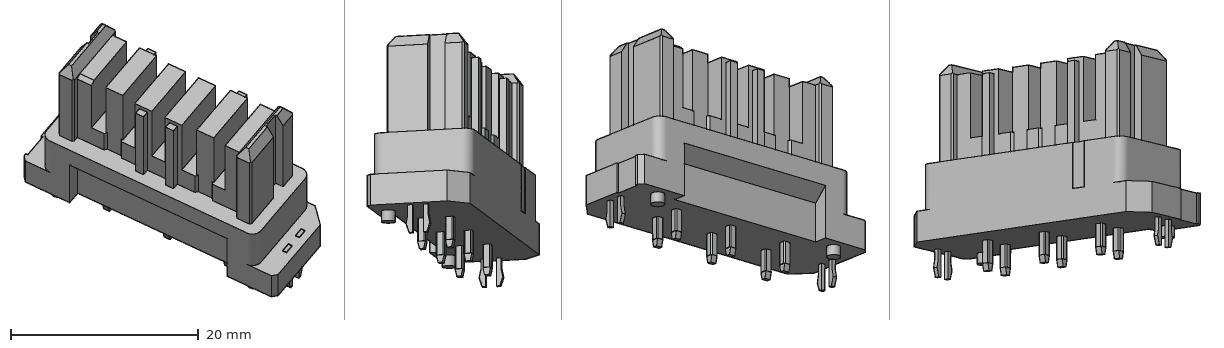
import cadquery as cq


length = 32.0
depth = 11.0
flange_height = 3.35
rear_chamfer_x = 1.92
rear_chamfer_y = 2.0
front_chamfer_x = 0.5
front_chamfer_y = 0.55
end_notch_depth = 0.22
end_notch_front = -4.57
end_notch_rear = -1.57
block_length = 27.0
block_top = 8.35
block_corner_radius = 1.1
rear_groove_x = -7.65
rear_groove_width = 1.55
rear_groove_depth = 0.1

pocket_length = 19.83
pocket_depth = 1.6
pocket_mouth_height = 5.98
pocket_rear_height = 4.4

tower_x = 11.15
tower_width = 1.92
tower_depth = 8.57
tower_top = 19.2
tower_shoulder = 18.0
tower_edge_chamfer = 0.2
ridge_width = 0.38
ridge_depth = 6.9
tower_slot_y = 1.2
tower_slot_width = 1.92

bar_depth = 7.05
bar_top = 10.95
fin_top = 18.0
fin_width = 2.15
inner_fin_x = 1.9
outer_fin_x = 5.73
end_fin_inner_x = 8.4
fin_setback = 0.3
bar_recess_width = 2.25
bar_recess_floor = 1.73
end_fin_bevel_depth = 0.5
end_fin_bevel_height = 0.38

rib_width = 1.0
rib_reach = tower_depth / 2
rib_top = 17.53

pin_pitch = 7.6
pin_y = 1.55
pin_size = 0.9
pin_edge_chamfer = 0.13
pin_shoulder = -2.5
pin_tip = -3.3
pin_tip_width = 0.75
pin_root_depth = 0.85
pin_tip_depth = 0.48
peg_x = 12.35
peg_y = -4.0
peg_diameter = 1.5
peg_length = 1.15
clip_x = 14.85
clip_thickness = 0.48
clip_head_inner_y = 0.7
clip_head_outer_y = 1.85
clip_head_height = 0.1
clip_inner_y = 0.6
clip_outer_y = 1.12
clip_neck_z = -1.15
clip_barb_y = 1.3
clip_barb_z = -2.05
clip_tip_y = 1.0
clip_tip_z = -3.0

half_length = length / 2
half_depth = depth / 2


def box_between(x0, x1, y0, y1, z0, z1):
    """Axis-aligned box between two opposite corners."""
    return cq.Workplane("XY").box(x1 - x0, y1 - y0, z1 - z0, centered=False).translate((x0, y0, z0))


def make_flange():
    outline = [
        (half_length - front_chamfer_x, -half_depth),
        (half_length, -half_depth + front_chamfer_y),
        (half_length, half_depth - rear_chamfer_y),
        (half_length - rear_chamfer_x, half_depth),
        (rear_chamfer_x - half_length, half_depth),
        (-half_length, half_depth - rear_chamfer_y),
        (-half_length, -half_depth + front_chamfer_y),
        (front_chamfer_x - half_length, -half_depth),
    ]
    flange = cq.Workplane("XY").polyline(outline).close().extrude(flange_height)
    end_notch = box_between(
        -half_length, end_notch_depth - half_length, end_notch_front, end_notch_rear, 0, flange_height
    )
    return flange.cut(end_notch)


def make_block():
    block = (
        cq.Workplane("XY")
        .rect(block_length, depth)
        .extrude(block_top)
        .edges("|Z")
        .fillet(block_corner_radius)
    )
    rear_groove = box_between(
        rear_groove_x - rear_groove_width / 2, rear_groove_x + rear_groove_width / 2,
        half_depth - rear_groove_depth, half_depth,
        flange_height, block_top,
    )
    return block.cut(rear_groove)


def make_pocket():
    pocket_rear = pocket_depth - half_depth
    profile = [
        (-half_depth, 0),
        (pocket_rear, 0),
        (pocket_rear, pocket_rear_height),
        (-half_depth, pocket_mouth_height),
    ]
    return cq.Workplane("YZ").polyline(profile).close().extrude(pocket_length / 2, both=True)


def roof_profile(plane, width, top_width):
    """Upright outline with sloping shoulders that meet a narrow flat top."""
    return (
        cq.Workplane(plane)
        .moveTo(-width / 2, block_top)
        .lineTo(width / 2, block_top)
        .lineTo(width / 2, tower_shoulder)
        .lineTo(top_width / 2, tower_top)
        .lineTo(-top_width / 2, tower_top)
        .lineTo(-width / 2, tower_shoulder)
        .close()
    )


def make_tower():
    """Left guide tower, with its slot open towards -X."""
    post = (
        cq.Workplane("XY", origin=(0, 0, block_top))
        .rect(tower_width, tower_depth)
        .extrude(tower_top - block_top)
        .edges("|Z")
        .chamfer(tower_edge_chamfer)
    )
    end_roof = roof_profile("XZ", tower_width, ridge_width).extrude(tower_depth, both=True)
    side_roof = roof_profile("YZ", tower_depth, ridge_depth).extrude(tower_width, both=True)
    slot = box_between(
        -tower_width / 2, 0,
        tower_slot_y - tower_slot_width / 2, tower_slot_y + tower_slot_width / 2,
        block_top, tower_top,
    )
    return post.intersect(end_roof).intersect(side_roof).cut(slot).translate((-tower_x, 0, 0))


def make_set_fin(x, set_side):
    """Fin whose face on set_side (-1 front, +1 rear) is set back from the bar."""
    set_face = set_side * (bar_depth / 2 - fin_setback)
    full_face = -set_side * bar_depth / 2
    return box_between(
        x - fin_width / 2, x + fin_width / 2,
        min(set_face, full_face), max(set_face, full_face),
        block_top, fin_top,
    )


def make_bar_recess(x, set_side):
    """Tapered recess that brings the bar flush with a set-back fin face."""
    mouth_y = set_side * bar_depth / 2
    floor_y = set_side * (bar_depth / 2 - fin_setback)
    outline = [
        (x - bar_recess_width / 2, mouth_y),
        (x + bar_recess_width / 2, mouth_y),
        (x + bar_recess_floor / 2, floor_y),
        (x - bar_recess_floor / 2, floor_y),
    ]
    return (
        cq.Workplane("XY", origin=(0, 0, block_top))
        .polyline(outline)
        .close()
        .extrude(bar_top - block_top)
    )


def make_rib(x, rib_side):
    root = rib_side * (bar_depth / 2 - fin_setback)
    tip = rib_side * rib_reach
    return box_between(
        x - rib_width / 2, x + rib_width / 2, min(root, tip), max(root, tip), block_top, rib_top
    )


def make_blade_row():
    half_bar = bar_depth / 2
    row = box_between(-tower_x, tower_x, -half_bar, half_bar, block_top, bar_top)

    fin_layout = [(-outer_fin_x, -1), (-inner_fin_x, 1), (inner_fin_x, 1), (outer_fin_x, -1)]
    for x, set_side in fin_layout:
        row = row.cut(make_bar_recess(x, set_side))
        row = row.union(make_set_fin(x, set_side))
        row = row.union(make_rib(x, -set_side))

    right_fin = box_between(end_fin_inner_x, tower_x, -half_bar, half_bar, block_top, fin_top)
    bevel = (
        cq.Workplane("YZ", origin=(-tower_x, 0, 0))
        .moveTo(-half_bar, fin_top)
        .lineTo(-half_bar + end_fin_bevel_depth, fin_top)
        .lineTo(-half_bar, fin_top - end_fin_bevel_height)
        .close()
        .extrude(tower_x - end_fin_inner_x)
    )
    left_fin = right_fin.mirror("YZ").cut(bevel)
    return row.union(right_fin).union(left_fin)


def make_pin(x, y):
    shank = (
        cq.Workplane("XY")
        .rect(pin_size, pin_size)
        .extrude(pin_shoulder)
        .edges("|Z")
        .chamfer(pin_edge_chamfer)
    )
    tip = (
        cq.Workplane("XY", origin=(0, 0, pin_shoulder))
        .rect(pin_tip_width, pin_root_depth)
        .workplane(offset=pin_tip - pin_shoulder)
        .rect(pin_tip_width, pin_tip_depth)
        .loft()
    )
    return shank.union(tip).translate((x, y, 0))


def make_peg(x):
    return cq.Workplane("XY").circle(peg_diameter / 2).extrude(-peg_length).translate((x, peg_y, 0))


def make_clip(x):
    """Rear end clip: a barbed leg below the flange and a flat head just above it."""
    profile = [
        (clip_head_inner_y, flange_height + clip_head_height),
        (clip_head_outer_y, flange_height + clip_head_height),
        (clip_head_outer_y, 0),
        (clip_outer_y, 0),
        (clip_outer_y, clip_neck_z),
        (clip_barb_y, clip_barb_z),
        (clip_tip_y, clip_tip_z),
        (clip_inner_y, clip_tip_z),
        (clip_inner_y, 0),
        (clip_head_inner_y, 0),
    ]
    clip = cq.Workplane("YZ").polyline(profile).close().extrude(clip_thickness / 2, both=True)
    return clip.translate((x, 0, 0))


left_tower = make_tower()
result = make_flange().union(make_block()).cut(make_pocket())
result = result.union(make_blade_row())
result = result.union(left_tower).union(left_tower.mirror("YZ"))

for column in (-1, 0, 1):
    for row_side in (-1, 1):
        result = result.union(make_pin(column * pin_pitch, row_side * pin_y))

for end in (-1, 1):
    clip = make_clip(end * clip_x)
    result = result.union(make_peg(end * peg_x))
    result = result.union(clip).union(clip.mirror("XZ"))